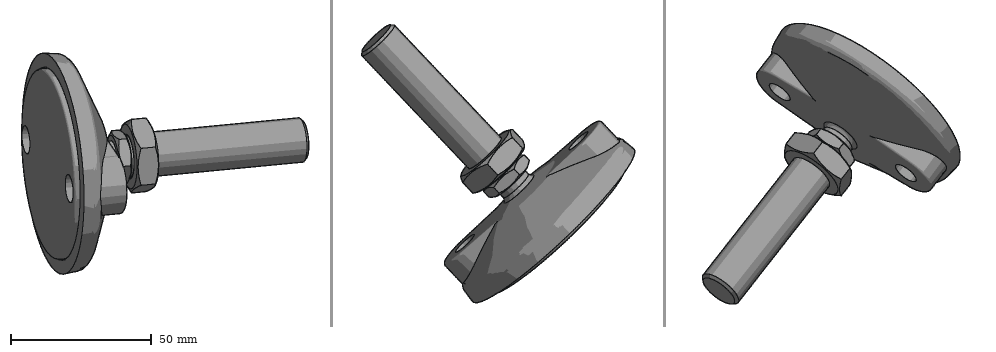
import cadquery as cq
import math


TOTAL_HEIGHT = 94.7

PAD_RADIUS = 34.0
PAD_PROJECTION = 2.0
PAD_EDGE_FILLET = 1.0
PAD_HOLE_RADIUS = 5.0

RECESS_RADIUS = 34.5
RECESS_DEPTH = 6.0
RIM_RADIUS = 39.5
RIM_TOP_RADIUS = 39.0
RIM_TOP = 6.0
SHOULDER_RADIUS = 37.2
SHOULDER_TOP = 9.2
SHOULDER_BLEND = 3.6
KNEE_RADIUS = 17.8
KNEE_TOP = 18.3
SEAT_RADIUS = 7.2
SEAT_TOP = 20.0

BOLT_OFFSET = 27.5
BOLT_HOLE_RADIUS = 4.5
BOSS_RADIUS = 10.6
BOSS_TOP = 18.6
BOSS_EDGE_FILLET = 1.0
BOSS_WALL_ANGLE = 6.0

ROD_RADIUS = 8.0
ROD_CHAMFER = 1.0
UNDERCUT_RADIUS = 7.7
NECK_RADIUS = 6.2
NECK_BOTTOM = 21.6
FLARE_RADIUS = 3.2
STUD_HEX_BOTTOM = 24.1
STUD_HEX_HEIGHT = 4.8
STUD_HEX_FLATS = 17.0

NUT_BOTTOM = 29.7
NUT_HEIGHT = 8.05
NUT_FLATS = 24.1

HEX_CHAMFER_ANGLE = 30.0
HEX_END_INSET = 0.5
NUT_TURN = 30
STUD_HEX_TURN = 0


def cylinder(radius, bottom, top):
    """Solid cylinder on the Y axis."""
    return cq.Workplane("XZ", origin=(0, bottom, 0)).circle(radius).extrude(bottom - top)


def revolve_about_y(profile):
    """Turn a closed profile in the XY plane about the Y axis."""
    return profile.close().revolve(360, (0, 0, 0), (0, 1, 0))


def chamfered_hexagon(flats, bottom, height, turn):
    """Hexagon on the Y axis, `flats` wide and turned by `turn` degrees, with both ends coned off."""
    corner_radius = flats / math.sqrt(3)
    end_radius = flats / 2 - HEX_END_INSET
    drop = (corner_radius - end_radius) * math.tan(math.radians(HEX_CHAMFER_ANGLE))
    top = bottom + height
    prism = (
        cq.Workplane("XZ", origin=(0, bottom, 0))
        .transformed(rotate=(0, 0, turn))
        .polygon(6, 2 * corner_radius)
        .extrude(-height)
    )
    envelope = revolve_about_y(
        cq.Workplane("XY")
        .moveTo(0, bottom)
        .lineTo(end_radius, bottom)
        .lineTo(corner_radius, bottom + drop)
        .lineTo(corner_radius, top - drop)
        .lineTo(end_radius, top)
        .lineTo(0, top)
    )
    return prism.intersect(envelope)


def bolt_holes(radius, bottom, top):
    """The two cutters for the fixing bolts."""
    return (
        cq.Workplane("XZ", origin=(0, bottom, 0))
        .pushPoints([(-BOLT_OFFSET, 0), (BOLT_OFFSET, 0)])
        .circle(radius)
        .extrude(bottom - top)
    )


def make_pad():
    """Round pad with two clearance holes, seated in the housing recess."""
    top = PAD_PROJECTION + RECESS_DEPTH
    pad = cylinder(PAD_RADIUS, 0, top).faces("<Y").edges().fillet(PAD_EDGE_FILLET)
    return pad.cut(bolt_holes(PAD_HOLE_RADIUS, 0, top))


def make_dome():
    """Turned dome: tapered rim, rounded shoulder, steep cone, shallow cone and flat seat."""
    return revolve_about_y(
        cq.Workplane("XY")
        .moveTo(0, PAD_PROJECTION)
        .lineTo(RIM_RADIUS, PAD_PROJECTION)
        .lineTo(RIM_TOP_RADIUS, RIM_TOP)
        .radiusArc((SHOULDER_RADIUS, SHOULDER_TOP), -SHOULDER_BLEND)
        .lineTo(KNEE_RADIUS, KNEE_TOP)
        .lineTo(SEAT_RADIUS, SEAT_TOP)
        .lineTo(0, SEAT_TOP)
    )


def make_bosses():
    """Rounded bosses at both bolts, joined by walls that widen toward the axis."""
    middle_half_width = BOSS_RADIUS + BOLT_OFFSET * math.tan(math.radians(BOSS_WALL_ANGLE))
    outline = (
        cq.Workplane("XZ", origin=(0, RIM_TOP, 0))
        .moveTo(-BOLT_OFFSET, -BOSS_RADIUS)
        .lineTo(0, -middle_half_width)
        .lineTo(BOLT_OFFSET, -BOSS_RADIUS)
        .threePointArc((BOLT_OFFSET + BOSS_RADIUS, 0), (BOLT_OFFSET, BOSS_RADIUS))
        .lineTo(0, middle_half_width)
        .lineTo(-BOLT_OFFSET, BOSS_RADIUS)
        .threePointArc((-BOLT_OFFSET - BOSS_RADIUS, 0), (-BOLT_OFFSET, -BOSS_RADIUS))
        .close()
    )
    return outline.extrude(RIM_TOP - BOSS_TOP).faces(">Y").edges().fillet(BOSS_EDGE_FILLET)


def make_housing():
    """Dome with its bosses, pad recess and bolt holes."""
    housing = make_dome().union(make_bosses())
    housing = housing.cut(cylinder(RECESS_RADIUS, PAD_PROJECTION, PAD_PROJECTION + RECESS_DEPTH))
    return housing.cut(bolt_holes(BOLT_HOLE_RADIUS, PAD_PROJECTION, BOSS_TOP))


def make_stud():
    """Rod, undercut below the nut, wrench hexagon, neck and a flared foot on the housing seat."""
    hex_top = STUD_HEX_BOTTOM + STUD_HEX_HEIGHT
    rod = cylinder(ROD_RADIUS, NUT_BOTTOM, TOTAL_HEIGHT).faces(">Y").chamfer(ROD_CHAMFER)
    undercut = cylinder(UNDERCUT_RADIUS, hex_top, NUT_BOTTOM)
    neck = revolve_about_y(
        cq.Workplane("XY")
        .moveTo(0, SEAT_TOP)
        .lineTo(SEAT_RADIUS, SEAT_TOP)
        .radiusArc((NECK_RADIUS, NECK_BOTTOM), FLARE_RADIUS)
        .lineTo(NECK_RADIUS, STUD_HEX_BOTTOM)
        .lineTo(0, STUD_HEX_BOTTOM)
    )
    wrench_hex = chamfered_hexagon(STUD_HEX_FLATS, STUD_HEX_BOTTOM, STUD_HEX_HEIGHT, STUD_HEX_TURN)
    return rod.union(undercut).union(wrench_hex).union(neck)


def make_nut():
    """Hexagon nut around the rod."""
    nut = chamfered_hexagon(NUT_FLATS, NUT_BOTTOM, NUT_HEIGHT, NUT_TURN)
    return nut.cut(cylinder(ROD_RADIUS, NUT_BOTTOM, NUT_BOTTOM + NUT_HEIGHT))


pad = make_pad()
housing = make_housing()
stud = make_stud()
nut = make_nut()

result = cq.Compound.makeCompound([pad.val(), housing.val(), stud.val(), nut.val()])